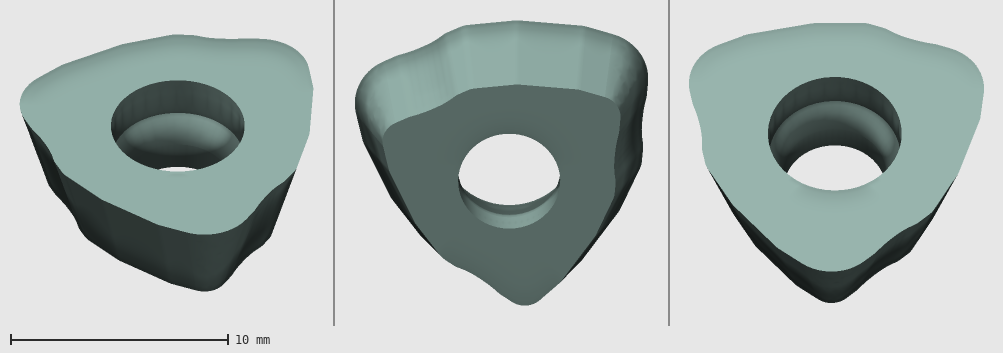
import math

import cadquery as cq

SIDES = 3
SIDE_TURN = 360.0 / SIDES
THICKNESS = 4.76
RELIEF_ANGLE = 15.0
BOTTOM_INSET = THICKNESS * math.tan(math.radians(RELIEF_ANGLE))

LEAD_HEADING, LEAD_DISTANCE = -11.0, 6.005
MAIN_HEADING, MAIN_DISTANCE = 0.0, 6.08
TRAIL_HEADING, TRAIL_DISTANCE = 12.0, 6.55
BLEND_RADIUS = 1.0

NOSE_RADIUS = 2.3

VALLEY_HEADING = -30.0
FLOOR_DISTANCE = 6.0
FLOOR_START, FLOOR_END = -1.756, -1.506
ENTRY_RADIUS, ENTRY_ANGLE = 6.2, 9.3
EXIT_RADIUS, EXIT_ANGLE = 3.7, 15.0

TOUCHING_GAP = 1e-6

HEAD_TOP_RADIUS = 3.08
HEAD_BOTTOM_RADIUS = 3.03
HEAD_DEPTH = 2.0
THROAT_RADIUS = 2.35
THROAT_DEPTH = 3.36


def shoulder_distance(radius, angle):
    """Distance from the axis of the straight edge reached at the end of a valley rise."""
    return FLOOR_DISTANCE + (radius + BLEND_RADIUS) * (1 - math.cos(math.radians(angle)))


ENTRY_DISTANCE = shoulder_distance(ENTRY_RADIUS, ENTRY_ANGLE)
EXIT_DISTANCE = shoulder_distance(EXIT_RADIUS, EXIT_ANGLE)


def edge_point(heading, along, distance):
    """Point at a position along an edge heading and a distance outward from the axis."""
    angle = math.radians(heading)
    x = along * math.cos(angle) + distance * math.sin(angle)
    y = along * math.sin(angle) - distance * math.cos(angle)
    return cq.Vector(x, y)


def corner_arc(edge_a, edge_b, radius):
    """Start, middle and end of the arc rounding the corner of two (heading, distance) edges."""
    heading_a, distance_a = edge_a
    heading_b, distance_b = edge_b
    turn = math.radians(heading_b - heading_a)
    center_distance_a = distance_a - radius
    center_distance_b = distance_b - radius
    along = (center_distance_b - center_distance_a * math.cos(turn)) / math.sin(turn)
    center = edge_point(heading_a, along, center_distance_a)
    headings = (heading_a, (heading_a + heading_b) / 2, heading_b)
    return [center + edge_point(heading, 0, radius) for heading in headings]


def valley_rise(floor_end, direction, radius, angle, inset):
    """Hollow arc and rounded shoulder, from one end of the valley floor outward."""
    floor = FLOOR_DISTANCE - inset
    shoulder_along = floor_end + direction * (radius + BLEND_RADIUS) * math.sin(math.radians(angle))
    shoulder_top = shoulder_distance(radius, angle) - inset

    def arc_point(along, level, signed_radius, degrees):
        turn = math.radians(degrees)
        return edge_point(
            VALLEY_HEADING,
            along + direction * signed_radius * math.sin(turn),
            level + signed_radius * (1 - math.cos(turn)),
        )

    hollow = [arc_point(floor_end, floor, radius, t) for t in (0, angle / 2, angle)]
    shoulder = [
        arc_point(shoulder_along, shoulder_top, -BLEND_RADIUS, t) for t in (angle, angle / 2, 0)
    ]
    return [hollow, shoulder]


def side_arcs(inset):
    """All arcs of one side in travel order; straight edges join the arcs that do not touch."""
    entry_edge = (VALLEY_HEADING, ENTRY_DISTANCE - inset)
    exit_edge = (VALLEY_HEADING, EXIT_DISTANCE - inset)
    lead_edge = (LEAD_HEADING, LEAD_DISTANCE - inset)
    main_edge = (MAIN_HEADING, MAIN_DISTANCE - inset)
    trail_edge = (TRAIL_HEADING, TRAIL_DISTANCE - inset)
    next_entry_edge = (entry_edge[0] + SIDE_TURN, entry_edge[1])

    entry_hollow, entry_shoulder = valley_rise(FLOOR_START, -1, ENTRY_RADIUS, ENTRY_ANGLE, inset)
    exit_hollow, exit_shoulder = valley_rise(FLOOR_END, 1, EXIT_RADIUS, EXIT_ANGLE, inset)
    return [
        entry_shoulder[::-1],
        entry_hollow[::-1],
        exit_hollow,
        exit_shoulder,
        corner_arc(exit_edge, lead_edge, BLEND_RADIUS),
        corner_arc(lead_edge, main_edge, BLEND_RADIUS),
        corner_arc(main_edge, trail_edge, BLEND_RADIUS),
        corner_arc(trail_edge, next_entry_edge, NOSE_RADIUS - inset),
    ]


def outline_edges(inset, z):
    """Closed chain of edges at height z, with every edge moved inward by the inset."""
    arcs = []
    for side in range(SIDES):
        side_plane = cq.Plane((0, 0, z)).rotated((0, 0, side * SIDE_TURN))
        for arc in side_arcs(inset):
            arcs.append([side_plane.toWorldCoords(point) for point in arc])

    edges = []
    for arc, next_arc in zip(arcs, arcs[1:] + arcs[:1]):
        edges.append(cq.Edge.makeThreePointArc(*arc))
        gap = (next_arc[0] - arc[-1]).Length
        if gap > TOUCHING_GAP:
            edges.append(cq.Edge.makeLine(arc[-1], next_arc[0]))
    return edges


def body():
    """Insert blank: one ruled flank between each bottom edge and its matching top edge."""
    bottom = outline_edges(BOTTOM_INSET, 0)
    top = outline_edges(0, THICKNESS)
    faces = [cq.Face.makeRuledSurface(low, high) for low, high in zip(bottom, top)]
    for edges in (bottom, top):
        faces.append(cq.Face.makeFromWires(cq.Wire.assembleEdges(edges)))
    blank = cq.Solid.makeSolid(cq.Shell.makeShell(faces))
    return cq.Workplane(blank.fix())


def screw_hole():
    """Solid of revolution that fills the screw hole."""
    head_floor = THICKNESS - HEAD_DEPTH
    throat_top = THICKNESS - THROAT_DEPTH
    seat_width = HEAD_BOTTOM_RADIUS - THROAT_RADIUS
    seat_height = head_floor - throat_top
    seat_radius = (seat_width**2 + seat_height**2) / (2 * seat_width)
    half_turn = math.atan2(seat_width, seat_height)
    seat_middle = (
        THROAT_RADIUS + seat_radius * (1 - math.cos(half_turn)),
        throat_top + seat_radius * math.sin(half_turn),
    )
    return (
        cq.Workplane("XZ")
        .moveTo(0, 0)
        .lineTo(THROAT_RADIUS, 0)
        .lineTo(THROAT_RADIUS, throat_top)
        .threePointArc(seat_middle, (HEAD_BOTTOM_RADIUS, head_floor))
        .lineTo(HEAD_TOP_RADIUS, THICKNESS)
        .lineTo(0, THICKNESS)
        .close()
        .revolve(360, (0, 0, 0), (0, 1, 0))
    )


result = body().cut(screw_hole()).solids()